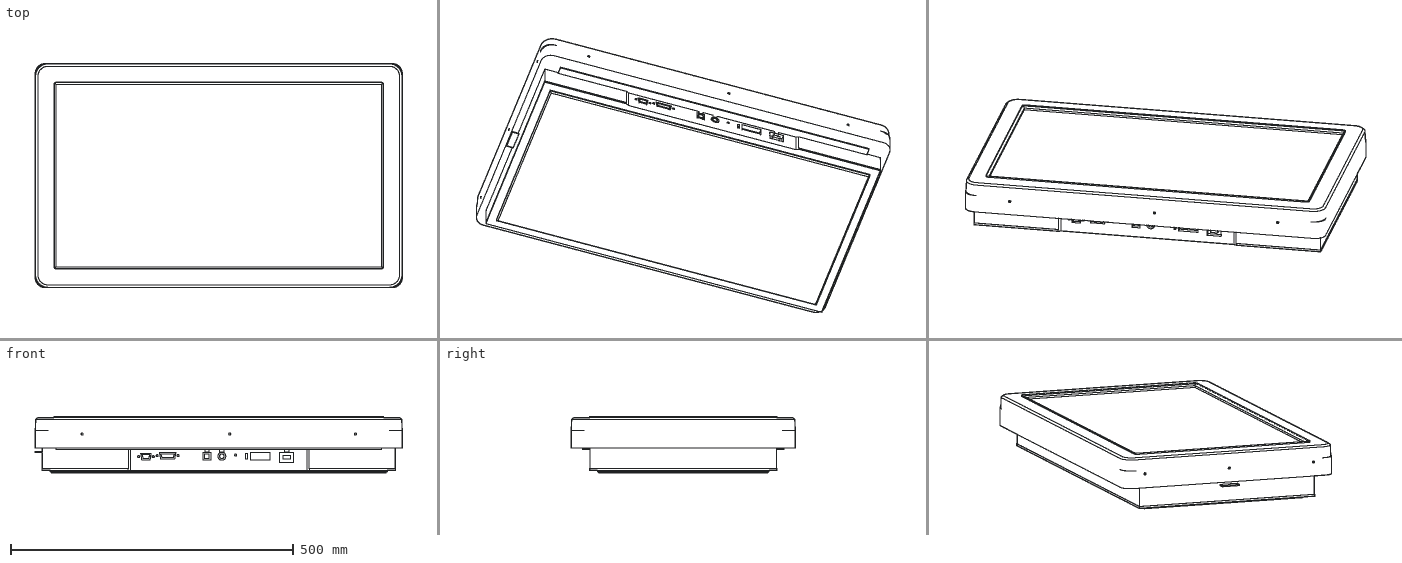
import cadquery as cq
import math

LENGTH = 650.2
WIDTH = 397.2
HEIGHT = 100.25

BOX_BOTTOM_Z = 4.6
LID_TOP_Z = 8.2
FRAME_BOTTOM_Z = 41.5
HOUSING_BOTTOM_Z = 43.7
SPLIT_Z = 75.4
BEVEL_START_Z = 95.0
BEZEL_TOP_Z = 98.1
SCREEN_Z = 92.5

HOUSING_RADIUS = 18.0
BEZEL_RADIUS = 22.5
BEZEL_DRAFT = 1.0
BEVEL_INSET = 4.0

LIP_INSET = 33.0
LIP_RADIUS = 5.0
LIP_TOP_WIDTH = 0.8
LIP_SLOPE_RUN = 3.3
LIP_SLOPE_DROP = 4.5
LIP_LENGTH = LENGTH - 2 * LIP_INSET
LIP_WIDTH = WIDTH - 2 * LIP_INSET

FRAME_LENGTH = 576.0
FRAME_WIDTH = 356.0
BOX_LENGTH = 626.6
BOX_WIDTH = LIP_WIDTH
LID_OVERHANG = 0.4
COVER_LENGTH = 597.0
COVER_WIDTH = 304.0
COVER_CHAMFER = 2.5

PANEL_MOUTH_LENGTH = 322.0
PANEL_FLOOR_LENGTH = 312.0
PANEL_DEPTH = 2.5
PANEL_Y = -BOX_WIDTH / 2 + PANEL_DEPTH
PORT_DEPTH = 8.0
PORT_TOP_Z = 37.0
PORT_ROW_Z = 29.5
SOCKET_GAP = 3.0
POWER_GAP = 6.0
CONTACT_GAP = 2.5
LATCH_WIDTH = 7.5
USB_X = -21.0
JACK_X = 5.5
POWER_X = 120.3
D_SUB_TAPER = 2.0
RAMP_DEPTH = 15.0

SCREW_DIAMETER = 3.6
SCREW_DEPTH = 5.0
SCREW_Z = 68.8
FRONT_SCREW_XS = (-242.0, 19.5, 242.0)
SIDE_SCREW_YS = (-159.0, 0.0, 159.0)

TAB_WIDTH = 32.6
TAB_THICKNESS = 2.0
TAB_Y = -3.2
TAB_Z = 36.8


def block(length, width, bottom, top):
    """Box centred on the Z axis between two levels."""
    return cq.Workplane("XY").workplane(offset=bottom).rect(length, width).extrude(top - bottom)


def make_bezel():
    """Drafted frame whose top edge carries a wide bevel."""
    draft_angle = math.degrees(math.atan(BEZEL_DRAFT / (BEZEL_TOP_Z - SPLIT_Z)))
    outline = cq.Sketch().rect(LENGTH, WIDTH).vertices().fillet(BEZEL_RADIUS)
    frame = (
        cq.Workplane("XY")
        .workplane(offset=SPLIT_Z)
        .placeSketch(outline)
        .extrude(BEZEL_TOP_Z - SPLIT_Z, taper=draft_angle)
    )
    return frame.faces(">Z").chamfer(BEZEL_TOP_Z - BEVEL_START_Z, BEVEL_INSET)


def make_screen_recess():
    """Opening inside the lip: a sloping rim above an upright wall down to the screen."""
    rim_bottom_z = HEIGHT - LIP_SLOPE_DROP
    screen_inset = LIP_TOP_WIDTH + LIP_SLOPE_RUN
    screen_length = LIP_LENGTH - 2 * screen_inset
    screen_width = LIP_WIDTH - 2 * screen_inset
    rim = (
        cq.Workplane("XY")
        .workplane(offset=rim_bottom_z)
        .rect(screen_length, screen_width)
        .workplane(offset=LIP_SLOPE_DROP)
        .rect(LIP_LENGTH - 2 * LIP_TOP_WIDTH, LIP_WIDTH - 2 * LIP_TOP_WIDTH)
        .loft()
    )
    return rim.union(block(screen_length, screen_width, SCREEN_Z, rim_bottom_z))


def make_front():
    """Housing ring, bevelled bezel and the lip that frames the sunken screen."""
    housing = block(LENGTH, WIDTH, HOUSING_BOTTOM_Z, SPLIT_Z).edges("|Z").fillet(HOUSING_RADIUS)
    lip = block(LIP_LENGTH, LIP_WIDTH, BEZEL_TOP_Z, HEIGHT).edges("|Z").fillet(LIP_RADIUS)
    return housing.union(make_bezel()).union(lip).cut(make_screen_recess())


def make_rear():
    """Electronics box with its mounting frame, cover plate and side tab."""
    frame = block(FRAME_LENGTH, FRAME_WIDTH, FRAME_BOTTOM_Z, HOUSING_BOTTOM_Z)
    box_length = BOX_LENGTH - 2 * LID_OVERHANG
    box_width = BOX_WIDTH - 2 * LID_OVERHANG
    box = block(box_length, box_width, LID_TOP_Z, HOUSING_BOTTOM_Z)
    lid = block(BOX_LENGTH, BOX_WIDTH, BOX_BOTTOM_Z, LID_TOP_Z)
    cover = block(COVER_LENGTH, COVER_WIDTH, 0, BOX_BOTTOM_Z).faces("<Z").chamfer(COVER_CHAMFER)
    tab_length = (LENGTH - box_length) / 2
    tab_x = -(LENGTH + box_length) / 4
    tab = cq.Workplane("XY").box(tab_length, TAB_WIDTH, TAB_THICKNESS).translate((tab_x, TAB_Y, TAB_Z))
    return frame.union(box).union(lid).union(cover).union(tab)


def make_panel_recess():
    """Shallow channel with sloping ends, open at the bottom of the box."""
    outer_y = -BOX_WIDTH / 2
    return (
        cq.Workplane("XY")
        .workplane(offset=BOX_BOTTOM_Z)
        .moveTo(-PANEL_MOUTH_LENGTH / 2, outer_y)
        .lineTo(PANEL_MOUTH_LENGTH / 2, outer_y)
        .lineTo(PANEL_FLOOR_LENGTH / 2, PANEL_Y)
        .lineTo(-PANEL_FLOOR_LENGTH / 2, PANEL_Y)
        .close()
        .extrude(FRAME_BOTTOM_Z - BOX_BOTTOM_Z)
    )


def panel_plane(x, z):
    """Workplane on the connector panel, its normal pointing out of the part."""
    return cq.Workplane("XZ", origin=(x, PANEL_Y, z))


def d_outline(plane, length, height):
    """Extruded D-shaped shell, narrower at the bottom, reaching the full port depth."""
    top = length / 2
    bottom = top - D_SUB_TAPER
    half_height = height / 2
    corners = [(-top, half_height), (top, half_height), (bottom, -half_height), (-bottom, -half_height)]
    return plane.polyline(corners).close().extrude(-PORT_DEPTH)


def d_sub_port(x, z, length, height, screw_pitch):
    """D-shaped socket around a contact block, with a screw hole at either end."""
    plane = panel_plane(x, z)
    shell = d_outline(plane, length, height)
    contacts = d_outline(plane, length - 2 * CONTACT_GAP, height - 2 * CONTACT_GAP)
    screws = plane.pushPoints([(-screw_pitch / 2, 0), (screw_pitch / 2, 0)])
    return shell.cut(contacts).union(screws.circle(SCREW_DIAMETER / 2).extrude(-PORT_DEPTH))


def rect_port(x, z, length, height):
    """Plain rectangular opening."""
    return panel_plane(x, z).rect(length, height).extrude(-PORT_DEPTH)


def rect_socket(x, z, length, height, gap):
    """Rectangular opening around a contact block."""
    return rect_port(x, z, length, height).cut(rect_port(x, z, length - 2 * gap, height - 2 * gap))


def round_socket(x, z, diameter):
    """Round opening around a central pin."""
    plane = panel_plane(x, z)
    return plane.circle(diameter / 2).circle(diameter / 2 - SOCKET_GAP).extrude(-PORT_DEPTH)


def round_port(x, z, diameter):
    """Plain round hole."""
    return panel_plane(x, z).circle(diameter / 2).extrude(-PORT_DEPTH)


def latch_ramp(x):
    """Sloping notch above a port, running out at the frame."""
    return (
        cq.Workplane("YZ", origin=(x - LATCH_WIDTH / 2, 0, 0))
        .moveTo(PANEL_Y, FRAME_BOTTOM_Z)
        .lineTo(PANEL_Y, PORT_TOP_Z)
        .lineTo(PANEL_Y + RAMP_DEPTH, PORT_TOP_Z)
        .close()
        .extrude(LATCH_WIDTH)
    )


def make_ports():
    """All cuts in the connector panel, from -X to +X."""
    return [
        d_sub_port(x=-129, z=28.7, length=18.5, height=12, screw_pitch=26),
        d_sub_port(x=-90.5, z=30.5, length=29, height=11, screw_pitch=37),
        rect_socket(x=USB_X, z=PORT_ROW_Z, length=14, height=14, gap=SOCKET_GAP),
        latch_ramp(USB_X),
        round_socket(x=JACK_X, z=PORT_ROW_Z, diameter=14),
        latch_ramp(JACK_X),
        round_port(x=30, z=31.5, diameter=SCREW_DIAMETER),
        rect_port(x=49.2, z=PORT_ROW_Z, length=3.2, height=9),
        rect_port(x=73.5, z=PORT_ROW_Z, length=35, height=13.5),
        rect_socket(x=POWER_X, z=27.5, length=25, height=18, gap=POWER_GAP),
        latch_ramp(POWER_X),
    ]


def make_screw_holes():
    """Blind holes in the -Y and -X walls of the housing."""
    radius = SCREW_DIAMETER / 2
    front = cq.Workplane("XZ", origin=(0, -WIDTH / 2, SCREW_Z)).pushPoints([(x, 0) for x in FRONT_SCREW_XS])
    side = cq.Workplane("YZ", origin=(-LENGTH / 2, 0, SCREW_Z)).pushPoints([(y, 0) for y in SIDE_SCREW_YS])
    front_holes = front.circle(radius).extrude(-SCREW_DEPTH)
    side_holes = side.circle(radius).extrude(SCREW_DEPTH)
    return front_holes.union(side_holes)


result = make_front().union(make_rear()).cut(make_panel_recess()).cut(make_screw_holes())
for port in make_ports():
    result = result.cut(port)